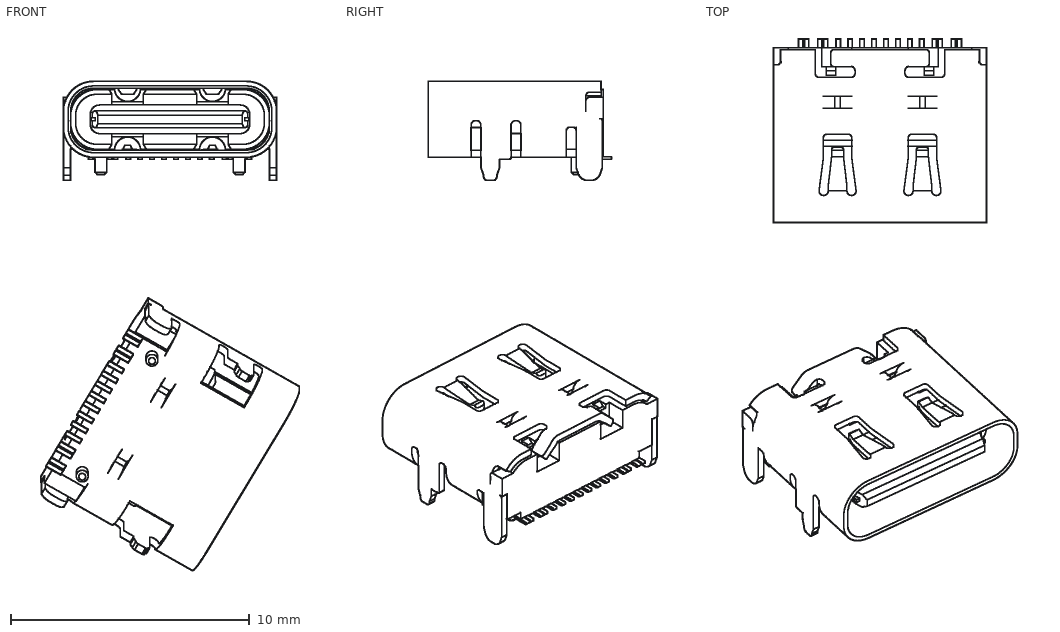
import cadquery as cq
import math


shell_width = 8.94
shell_height = 3.19
overall_height = 4.16
shell_length = 7.25
sheet = 0.3
shell_radius = 1.27
rim = 0.2
mouth_depth = 0.35
half_width = shell_width / 2
mid_z = shell_height / 2
ceiling = shell_height - sheet

housing_front = 4.29
housing_back = 7.34
housing_gap = 0.04
housing_top = ceiling - housing_gap
housing_radius = 1.11
housing_half_width = half_width - sheet
housing_chamfer = 0.21
block_step_z = 0.35
block_floor_half_width = 3.4

tongue_width = 6.51
tongue_thickness = 0.7
tongue_front = 0.36
tongue_round = 0.12
tip_bevel_y = 0.23
tip_bevel_z = 0.17
side_bevel_y = 0.715
side_bevel_x = 0.23
base_width = 6.69
base_thickness = 1.2
base_radius = 0.39
base_front = 3.21
tab_width = 6.62
tab_thickness = 0.14
tab_front = 0.715

spring_x = 1.78

finger_root_y = 1.31
finger_bend_y = 1.52
finger_low_y = 2.75
finger_tip_y = 3.165
finger_root_drop = 0.03
finger_drop = 0.25
finger_curl = 0.11
finger_crest_y = 3.03
finger_tip_round = 0.12
finger_slot_front = 1.135
finger_root_half = 0.39
finger_tip_half = 0.25
finger_slot_back = 3.7
finger_slot_half = 0.6
finger_slot_straight_y = 2.68
finger_slot_wide_half = 0.78
finger_slot_corner = 0.15

loop_front = 4.79
loop_back = 5.3
loop_radius = 0.545
loop_groove_half = 0.215
loop_groove_floor_half = 0.12
loop_groove_depth = 0.2
loop_window_half = 0.6

notch_half = 0.66
notch_flare_half = 0.79
notch_height = 0.14

dimple_x = 1.59
dimple_y = 0.965
dimple_radius = 0.29
dimple_top_radius = 0.18
dimple_height = 0.03

leg_bottom = shell_height - overall_height
leg_taper_top = 0.53
leg_taper_height = 0.3
leg_taper_inset = 0.11
leg_tip_bulge = 0.03
prong_tip_inset = 0.215
rear_tip_inset = 0.39
leg_shoulder_round = 0.07
front_leg_y = (2.21, 3.48)
front_leg_narrow_back = 2.995
front_leg_step_z = -0.08
rear_leg_front = 6.2
rear_leg_back = 7.3
rear_leg_corner = 0.11
leg_gap = 0.41
rear_gap_front = rear_leg_front - leg_gap
gap_top = 1.54
rear_gap_top = 1.27
gap_round = 0.2
rear_gap_round = 0.16
gap_inner_x = 2.95

ear_front = 6.61
ear_bottom = 1.63
ear_top = 2.52
ear_inner_x = 3.58
ear_slot_top = 2.74
ear_slot_edge_x = 4.16
ear_corner = 0.17

wing_slot_outer = 2.72
wing_slot_inner = 1.05
wing_slot_front = 6.09
wing_root = 1.19
wing_front = 6.535
wing_bend_x = 1.54
wing_bend_drop = 0.18
wing_bend_sag = 0.045
wing_slot_corner = 0.17
wing_tip_corner = 0.13
wing_tip_x = 2.065
pocket_outer = 2.45
pocket_floor = 1.97
keyway_x = (-2.24, -1.85)
keyway_front = 6.17
keyway_ramp_back = 6.37
keyway_depth = 0.18

pin_width = 0.2
pin_tip = 7.7
pin_bottom = -0.09
pin_top = 0.03
pin_pitch = 0.5
pitched_pins = 4
outer_pins = (2.28, 2.52, 3.075, 3.33)
pin_root = 6.97
pin_round = 0.05
peg_x = 2.9
peg_y = 6.24
peg_radius = 0.25
peg_bottom = -0.72
peg_chamfer = 0.11

margin = 0.89


def box(x_range, y_range, z_range):
    """Axis-aligned box from its limits."""
    size = [high - low for low, high in (x_range, y_range, z_range)]
    return cq.Workplane("XY").box(*size, centered=False).translate((x_range[0], y_range[0], z_range[0]))


def rounded_outline(width, height, radius):
    """Sketch of a rectangle with round corners."""
    return cq.Sketch().rect(width, height).vertices().fillet(radius)


def tube(width, height, radius, front, back):
    """Bar of rounded rectangular section running from front to back at mid height."""
    start = cq.Workplane("XZ", origin=(0, front, mid_z))
    return start.placeSketch(rounded_outline(width, height, radius)).extrude(front - back)


def across(outline_xz, front, back):
    """Extrude an X-Z outline (a wire on an XZ workplane at Y = 0) between two depths."""
    return outline_xz.extrude(front - back).translate((0, front, 0))


def both_sides(solid):
    """The solid together with its mirror image across the middle."""
    return solid.union(solid.mirror("YZ"))


def floor_copy(solid):
    """The solid turned over from the shell top to the shell floor."""
    return solid.mirror("XY", (0, 0, mid_z))




def make_tube():
    """Plain shell tube with its mouth flared on the inside."""
    inner = (shell_width - 2 * sheet, shell_height - 2 * sheet, shell_radius - sheet)
    mouth = (shell_width - 2 * rim, shell_height - 2 * rim, shell_radius - rim)
    flare_end = rounded_outline(*inner).moved(cq.Location(cq.Vector(0, 0, -mouth_depth)))
    flare = cq.Workplane("XZ", origin=(0, 0, mid_z)).placeSketch(rounded_outline(*mouth), flare_end).loft()
    outer_tube = tube(shell_width, shell_height, shell_radius, 0, shell_length)
    return outer_tube.cut(tube(*inner, 0, shell_length)).cut(flare)


def leg_openings():
    """Material of the lower left shell corner that the legs are bent out of."""
    outer = -half_width - margin
    front = front_leg_y[0] - leg_gap
    back = front_leg_y[1] + leg_gap
    openings = box((outer, -gap_inner_x), (front, back), (-margin, rear_gap_top))
    for start in (front, front_leg_y[1]):
        slot = box((outer, -gap_inner_x), (start, start + leg_gap), (0, gap_top))
        openings = openings.union(slot.edges("|X and >Z").fillet(gap_round))
    return openings


def rear_opening():
    """Lower rear of the shell, cut away on both sides and across the floor."""
    x_range = (-half_width - margin, half_width + margin)
    gap = box(x_range, (rear_gap_front, rear_leg_front), (-margin, rear_gap_top))
    back = box(x_range, (rear_leg_front, shell_length + margin), (-margin, ear_bottom))
    return gap.edges("|X and >Z").fillet(rear_gap_round).union(back)


def leg_plate(front, back, top, tip_inset):
    """Upright plate in the left side wall, narrowing to a rounded tip at the bottom."""
    taper_z = leg_bottom + leg_taper_top
    knee_z = taper_z - leg_taper_height
    bulge_inset = (leg_taper_inset + tip_inset) / 2 - leg_tip_bulge
    bulge_z = (knee_z + leg_bottom) / 2 - leg_tip_bulge
    return (
        cq.Workplane("YZ", origin=(-half_width, 0, 0))
        .moveTo(front, top)
        .lineTo(front, taper_z)
        .lineTo(front + leg_taper_inset, knee_z)
        .threePointArc((front + bulge_inset, bulge_z), (front + tip_inset, leg_bottom))
        .lineTo(back - tip_inset, leg_bottom)
        .threePointArc((back - bulge_inset, bulge_z), (back - leg_taper_inset, knee_z))
        .lineTo(back, taper_z)
        .lineTo(back, top)
        .close()
        .extrude(sheet)
    )


def make_legs():
    """Left legs: plates that continue the side wall straight down."""
    x_range = (-half_width, sheet - half_width)
    shoulder = box(x_range, front_leg_y, (front_leg_step_z, rear_gap_top))
    shoulder = shoulder.edges("|X and <Z and >Y").fillet(leg_shoulder_round)
    prong = leg_plate(front_leg_y[0], front_leg_narrow_back, rear_gap_top, prong_tip_inset)
    rear = leg_plate(rear_leg_front, rear_leg_back, ear_bottom, rear_tip_inset)
    return shoulder.union(prong).union(rear.edges("|X and >Z and >Y").fillet(rear_leg_corner))


def ear_slot():
    """Gap in the left rear corner of the shell that the housing ear fills."""
    outer = -half_width - margin
    outline = cq.Workplane("XZ").polyline(
        [
            (outer, ear_bottom),
            (-ear_inner_x, ear_bottom),
            (-ear_inner_x, ear_top - ear_corner),
            (-ear_slot_edge_x, ear_slot_top),
            (outer, ear_slot_top),
        ]
    ).close()
    return across(outline, ear_front, shell_length + margin).edges("<Y and (>Z or <Z)").fillet(ear_corner)




def finger_slot():
    """Window in the shell top around a spring finger, centred on X = 0."""
    groove_radius = (finger_slot_wide_half - finger_root_half) / 2
    groove_x = finger_slot_wide_half - groove_radius
    groove_y = finger_slot_front + groove_radius
    outline = (
        cq.Workplane("XY", origin=(0, 0, ceiling - margin))
        .moveTo(finger_slot_half, finger_slot_back)
        .lineTo(finger_slot_half, finger_slot_straight_y)
        .lineTo(finger_slot_wide_half, groove_y)
        .threePointArc((groove_x, finger_slot_front), (finger_root_half, groove_y))
        .lineTo(-finger_root_half, groove_y)
        .threePointArc((-groove_x, finger_slot_front), (-finger_slot_wide_half, groove_y))
        .lineTo(-finger_slot_half, finger_slot_straight_y)
        .lineTo(-finger_slot_half, finger_slot_back)
        .close()
    )
    return outline.extrude(2 * margin).edges("|Z and >Y").fillet(finger_slot_corner)


def make_finger():
    """Spring finger: a tapered tongue of sheet that dips and turns up at its tip."""
    profile = [
        (finger_slot_front, 0),
        (finger_root_y, 0),
        (finger_bend_y, finger_root_drop),
        (finger_low_y, finger_drop),
        (finger_crest_y, finger_drop - finger_curl),
        (finger_tip_y, finger_drop),
    ]
    upper = [(y, shell_height - drop) for y, drop in profile]
    lower = [(y, z - sheet) for y, z in upper]
    side = cq.Workplane("YZ", origin=(-margin, 0, 0)).polyline(upper + lower[::-1]).close().extrude(2 * margin)
    plan = (
        cq.Workplane("XY")
        .polyline(
            [
                (-finger_root_half, finger_slot_front),
                (-finger_root_half, finger_bend_y),
                (-finger_tip_half, finger_low_y),
                (-finger_tip_half, finger_tip_y),
                (finger_tip_half, finger_tip_y),
                (finger_tip_half, finger_low_y),
                (finger_root_half, finger_bend_y),
                (finger_root_half, finger_slot_front),
            ]
        )
        .close()
        .extrude(shell_height)
        .edges("|Z and >Y")
        .fillet(finger_tip_round)
    )
    return side.intersect(plan)


def loop_body():
    """Half-round bar pressed below the shell top, centred on X = 0."""
    outline = (
        cq.Workplane("XZ")
        .moveTo(-loop_radius, ceiling)
        .threePointArc((0, ceiling - loop_radius), (loop_radius, ceiling))
        .close()
    )
    return across(outline, loop_front, loop_back)


def loop_groove():
    """Hollow above a pressed loop, with flanks rolling over from the shell top."""
    run = loop_window_half - loop_groove_half
    roll_radius = (run**2 + sheet**2) / (2 * sheet)
    half_angle = math.atan2(run, roll_radius - sheet) / 2
    roll_x = loop_window_half - roll_radius * math.sin(half_angle)
    roll_z = shell_height - roll_radius * (1 - math.cos(half_angle))
    floor_z = ceiling - loop_groove_depth
    outline = (
        cq.Workplane("XZ")
        .moveTo(-loop_window_half, shell_height)
        .threePointArc((-roll_x, roll_z), (-loop_groove_half, ceiling))
        .lineTo(-loop_groove_floor_half, floor_z)
        .lineTo(loop_groove_floor_half, floor_z)
        .lineTo(loop_groove_half, ceiling)
        .threePointArc((roll_x, roll_z), (loop_window_half, shell_height))
        .close()
    )
    return across(outline, loop_front, loop_back)


def wing_slot():
    """L-shaped cut from the rear edge of the shell top, left side."""
    z_range = (ceiling - margin, shell_height + margin)
    foot = box((-wing_slot_outer, -wing_slot_inner), (wing_slot_front, wing_front), z_range)
    foot = foot.edges("|Z").edges("<Y or >X").fillet(wing_slot_corner)
    leg = box((-wing_slot_outer, -wing_root), (wing_front - wing_slot_corner, shell_length + margin), z_range)
    return foot.union(leg)


def make_wing():
    """Left wing: a flap of the shell top bent down at 45 degrees and rounded at the bend."""
    tip_drop = wing_bend_drop + wing_tip_x - wing_bend_x
    step = sheet * math.sqrt(0.5)
    outline = (
        cq.Workplane("XZ")
        .moveTo(-wing_slot_inner, shell_height)
        .lineTo(-wing_root, shell_height)
        .threePointArc(
            (-(wing_root + wing_bend_x) / 2, shell_height - wing_bend_sag),
            (-wing_bend_x, shell_height - wing_bend_drop),
        )
        .lineTo(-wing_tip_x, shell_height - tip_drop)
        .lineTo(step - wing_tip_x, shell_height - tip_drop - step)
        .lineTo(-wing_root, ceiling - wing_bend_sag)
        .lineTo(-wing_slot_inner, ceiling)
        .close()
    )
    wing = across(outline, wing_front, shell_length)
    trim = box((-wing_tip_x, 0), (wing_front, shell_length), (0, shell_height))
    return wing.intersect(trim.edges("|Z and <X").fillet(wing_tip_corner))


def make_dimple():
    """Low raised button on the shell floor."""
    return (
        cq.Workplane("XY", origin=(dimple_x, dimple_y, sheet))
        .circle(dimple_radius)
        .workplane(offset=dimple_height)
        .circle(dimple_top_radius)
        .loft()
    )


def make_shell():
    """Whole shell: tube, openings, legs, wings, spring fingers, loops and dimples."""
    openings = leg_openings().union(ear_slot()).union(wing_slot())
    shell = make_tube().cut(rear_opening()).cut(both_sides(openings))
    shell = shell.union(both_sides(make_legs().union(make_wing())))
    body = loop_body()
    groove = loop_groove()
    loops = body.union(floor_copy(body))
    grooves = groove.union(floor_copy(groove))
    for x in (-spring_x, spring_x):
        place = (x, 0, 0)
        shell = shell.cut(finger_slot().translate(place)).union(make_finger().translate(place))
        shell = shell.union(loops.translate(place)).cut(grooves.translate(place))
    return shell.union(both_sides(make_dimple()))




def housing_notch():
    """Notch in the housing front that clears an upper loop, centred on X = 0."""
    floor_front = mid_z + base_thickness / 2
    shoulder_z = housing_top - housing_chamfer
    outline = (
        cq.Workplane("XZ")
        .polyline(
            [
                (-notch_half, mid_z),
                (-notch_half, shoulder_z),
                (-notch_flare_half, housing_top),
                (notch_flare_half, housing_top),
                (notch_half, shoulder_z),
                (notch_half, mid_z),
            ]
        )
        .close()
    )
    ramp = (
        cq.Workplane("YZ", origin=(-notch_half, 0, 0))
        .polyline(
            [
                (housing_front, 0),
                (housing_front, floor_front),
                (loop_front, floor_front + notch_height),
                (loop_back, floor_front + notch_height),
                (loop_back, 0),
            ]
        )
        .close()
        .extrude(2 * notch_half)
    )
    return across(outline, housing_front, loop_back).cut(ramp)


def make_rear_block():
    """Rear of the housing, square towards the board and holding the pegs and pins."""
    y_range = (rear_gap_front, housing_back)
    wide = box((-housing_half_width, housing_half_width), y_range, (block_step_z, mid_z))
    floor = box((-block_floor_half_width, block_floor_half_width), y_range, (0, block_step_z))
    return wide.union(floor)


def make_ear():
    """Left ear closing the rear corner of the shell."""
    ear = box((-half_width, -ear_inner_x), (ear_front, housing_back), (ear_bottom, ear_top))
    return ear.edges("|X and <Y").fillet(ear_corner)


def wing_pocket():
    """Pocket in the housing top under the left wing, with a ramped keyway in its front wall."""
    pocket = box((-pocket_outer, -wing_root), (wing_front, housing_back), (pocket_floor, ceiling))
    keyway_floor = housing_top - keyway_depth
    keyway = (
        cq.Workplane("YZ", origin=(keyway_x[0], 0, 0))
        .polyline(
            [
                (keyway_front, housing_top),
                (keyway_ramp_back, keyway_floor),
                (wing_front, keyway_floor),
                (wing_front, housing_top),
            ]
        )
        .close()
        .extrude(keyway_x[1] - keyway_x[0])
    )
    return pocket.union(keyway)


def make_tongue():
    """Mating tongue, its thicker base and the latch plate showing at its sides."""
    half = tongue_width / 2
    tip_half = half - side_bevel_x
    plan = (
        cq.Workplane("XY")
        .polyline(
            [
                (-half, housing_back),
                (-half, tongue_front + side_bevel_y),
                (-tip_half, tongue_front),
                (tip_half, tongue_front),
                (half, tongue_front + side_bevel_y),
                (half, housing_back),
            ]
        )
        .close()
        .extrude(shell_height)
    )
    tongue = tube(tongue_width, tongue_thickness, tongue_round, tongue_front, housing_back)
    half_thickness = tongue_thickness / 2
    tip_half_thickness = half_thickness - tip_bevel_z
    side = (
        cq.Workplane("YZ", origin=(-half, 0, mid_z))
        .polyline(
            [
                (housing_back, -half_thickness),
                (tongue_front + tip_bevel_y, -half_thickness),
                (tongue_front, -tip_half_thickness),
                (tongue_front, tip_half_thickness),
                (tongue_front + tip_bevel_y, half_thickness),
                (housing_back, half_thickness),
            ]
        )
        .close()
        .extrude(tongue_width)
    )
    base = tube(base_width, base_thickness, base_radius, base_front, housing_back)
    base = base.faces("<Y").chamfer((base_thickness - tongue_thickness) / 2)
    plate = box(
        (-tab_width / 2, tab_width / 2),
        (tab_front, housing_back),
        (mid_z - tab_thickness / 2, mid_z + tab_thickness / 2),
    )
    return tongue.intersect(plan).intersect(side).union(base).union(plate)


def make_peg():
    """Left locating peg."""
    peg = cq.Workplane("XY", origin=(-peg_x, peg_y, peg_bottom)).circle(peg_radius)
    return peg.extrude(mid_z - peg_bottom).faces("<Z").chamfer(peg_chamfer)


def make_pins():
    """Contact tails in mirrored pairs along the back."""
    pitched = [(index + 0.5) * pin_pitch for index in range(pitched_pins)]
    pins = cq.Workplane("XY")
    for x in (*pitched, *outer_pins):
        pin = box((x - pin_width / 2, x + pin_width / 2), (pin_root, pin_tip), (pin_bottom, pin_top))
        pin = pin.edges("|X and >Y").fillet(pin_round)
        pins = pins.union(pin)
    return both_sides(pins)


def make_housing():
    """Whole housing: body, rear block, tongue, ears, pegs and contact pins."""
    width = 2 * housing_half_width
    height = shell_height - 2 * (sheet + housing_gap)
    housing = tube(width, height, housing_radius, housing_front, housing_back)
    housing = housing.faces("<Y").chamfer(housing_chamfer)
    notch = housing_notch()
    notches = notch.union(floor_copy(notch))
    for x in (-spring_x, spring_x):
        housing = housing.cut(notches.translate((x, 0, 0)))
    housing = housing.union(make_rear_block()).union(make_tongue())
    housing = housing.union(both_sides(make_ear().union(make_peg())))
    return housing.cut(both_sides(wing_pocket())).union(make_pins())


result = make_housing().union(make_shell())